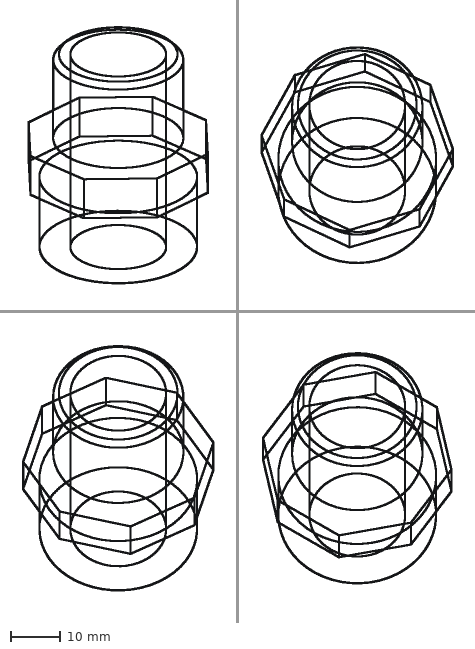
import cadquery as cq
import math

total_height = 44.0
collar_across_flats = 36.0

socket_height = 16.0
spigot_height = 19.1
collar_height = total_height - socket_height - spigot_height
socket_diameter = 32.05
spigot_diameter = 26.45
bore_diameter = 19.45
spigot_chamfer = 1.2

collar_sides = 8
half_side_angle = 180 / collar_sides
collar_across_corners = collar_across_flats / math.cos(math.radians(half_side_angle))

socket = cq.Workplane("XY").circle(socket_diameter / 2).extrude(socket_height)

collar = (
    cq.Workplane("XY")
    .polygon(collar_sides, collar_across_corners)
    .extrude(collar_height)
    .rotate((0, 0, 0), (0, 0, 1), half_side_angle)
    .translate((0, 0, socket_height))
)

spigot = (
    cq.Workplane("XY")
    .workplane(offset=socket_height + collar_height)
    .circle(spigot_diameter / 2)
    .extrude(spigot_height)
    .faces(">Z")
    .edges()
    .chamfer(spigot_chamfer)
)

bore = cq.Workplane("XY").circle(bore_diameter / 2).extrude(total_height)

result = socket.union(collar).union(spigot).cut(bore)